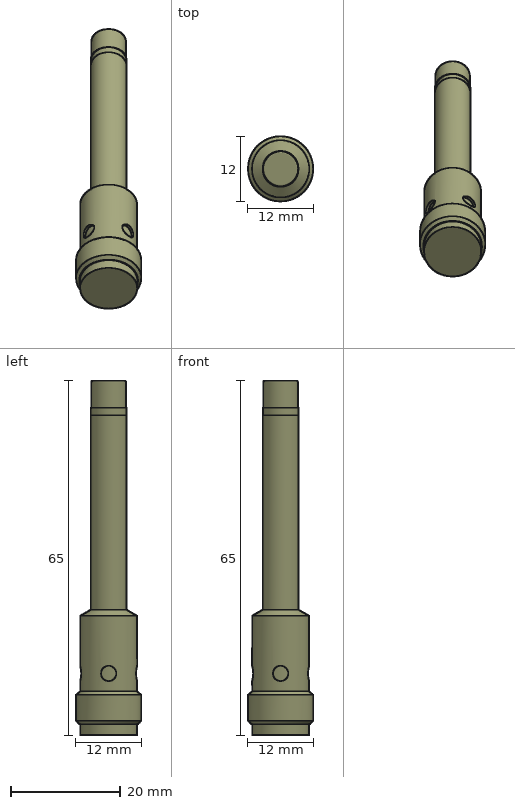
import cadquery as cq

total_height = 65.0
base_height = 2.0
shaft_top = 60.0

shaft_radius = 3.3
sleeve_radius = 5.25
collar_radius = 6.0
collar_bottom_radius = 5.4
collar_chamfer_height = 0.65
collar_top = 8.0
cone_height = 1.13
cone_top = 23.0

pocket_count = 4
pocket_radius = 1.4
pocket_height = 11.3
pocket_floor_radius = 4.8

tip_radius = 3.2
tip_edge_fillet = 0.3
socket_depth = 1.3


def make_base():
    """Plain disc under the collar."""
    return cq.Workplane("XY").circle(sleeve_radius).extrude(base_height)


def make_holder():
    """Turned shaft, sleeve and collar, with pockets around the sleeve and a socket for the tip."""
    profile = [
        (0, base_height),
        (collar_bottom_radius, base_height),
        (collar_radius, base_height + collar_chamfer_height),
        (collar_radius, collar_top - collar_chamfer_height),
        (sleeve_radius, collar_top),
        (sleeve_radius, cone_top - cone_height),
        (shaft_radius, cone_top),
        (shaft_radius, shaft_top),
        (tip_radius, shaft_top),
        (tip_radius, shaft_top - socket_depth),
        (0, shaft_top - socket_depth),
    ]
    holder = cq.Workplane("XZ").polyline(profile).close().revolve(360, (0, 0, 0), (0, 1, 0))
    for index in range(pocket_count):
        holder = holder.cut(make_pocket_cutter(index * 360 / pocket_count))
    return holder


def make_pocket_cutter(angle):
    """Radial cylinder that starts at the pocket floor and leaves through the sleeve wall."""
    cutter = (
        cq.Workplane("YZ", origin=(0, 0, pocket_height))
        .circle(pocket_radius)
        .extrude(collar_radius)
    )
    core = cq.Workplane("XY").circle(pocket_floor_radius).extrude(cone_top)
    return cutter.cut(core).rotate((0, 0, 0), (0, 0, 1), angle)


def make_tip():
    """Cylinder seated in the shaft socket, with a rounded top edge."""
    tip_bottom = shaft_top - socket_depth
    tip = (
        cq.Workplane("XY", origin=(0, 0, tip_bottom))
        .circle(tip_radius)
        .extrude(total_height - tip_bottom)
    )
    return tip.faces(">Z").edges().fillet(tip_edge_fillet)


base = make_base()
holder = make_holder()
tip = make_tip()

result = cq.Compound.makeCompound([base.val(), holder.val(), tip.val()])